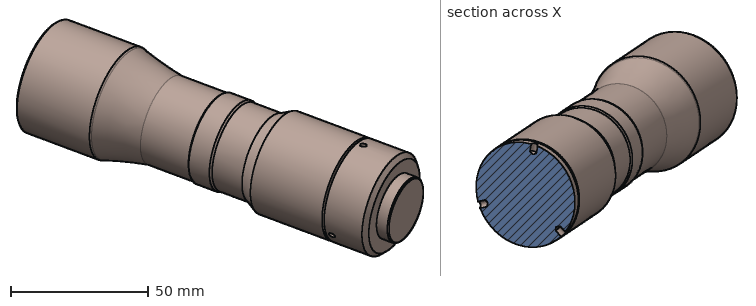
import cadquery as cq

length = 152.5

head_diameter = 44.0
head_radius = head_diameter / 2
neck_radius = 17.4
ring_radius = 17.8
body_radius = 20.1
groove_radius = 16.5
spigot_radius = 12.8

head_end = 31.9
neck_start = 50.0
ring_start = 70.5
ring_end = 79.6
flare_start = 93.2
body_start = 98.4
groove_start = 128.7
groove_width = 0.9
groove_end = groove_start + groove_width
body_end = 147.5

head_chamfer = 0.6
ring_front_chamfer = 0.5
ring_rear_slope = 0.9
body_chamfer = 1.8
spigot_chamfer = 0.5

taper_sag = 0.3

hole_count = 3
hole_radius = 1.2
hole_depth = 3.0
hole_tip_depth = 0.8
hole_x = groove_end + 2.6
first_hole_angle = 79.6


def make_barrel():
    """Revolve the half profile of the barrel about X."""
    taper_middle = (
        (head_end + neck_start) / 2,
        (head_radius - head_chamfer / 2 + neck_radius) / 2 - taper_sag,
    )
    profile = (
        cq.Workplane("XY")
        .lineTo(0, head_radius - head_chamfer)
        .lineTo(head_chamfer, head_radius)
        .lineTo(head_end - head_chamfer, head_radius)
        .lineTo(head_end, head_radius - head_chamfer / 2)
        .threePointArc(taper_middle, (neck_start, neck_radius))
        .lineTo(ring_start, neck_radius)
        .lineTo(ring_start + ring_front_chamfer, ring_radius)
        .lineTo(ring_end, ring_radius)
        .lineTo(ring_end + ring_rear_slope, neck_radius)
        .lineTo(flare_start, neck_radius)
        .lineTo(body_start, body_radius)
        .lineTo(groove_start, body_radius)
        .lineTo(groove_start, groove_radius)
        .lineTo(groove_end, groove_radius)
        .lineTo(groove_end, body_radius)
        .lineTo(body_end - body_chamfer, body_radius)
        .lineTo(body_end, body_radius - body_chamfer)
        .lineTo(body_end, spigot_radius)
        .lineTo(length - spigot_chamfer, spigot_radius)
        .lineTo(length, spigot_radius - spigot_chamfer)
        .lineTo(length, 0)
        .close()
    )
    return profile.revolve(360, (0, 0, 0), (1, 0, 0))


def make_screw_hole(angle):
    """Drill shape along a radius, turned about X from +Y toward +Z."""
    floor = body_radius - hole_depth
    drill = (
        cq.Workplane("XY")
        .moveTo(hole_x, floor - hole_tip_depth)
        .lineTo(hole_x + hole_radius, floor)
        .lineTo(hole_x + hole_radius, head_radius)
        .lineTo(hole_x, head_radius)
        .close()
        .revolve(360, (hole_x, 0, 0), (hole_x, 1, 0))
    )
    return drill.rotate((0, 0, 0), (1, 0, 0), angle)


result = make_barrel()
for index in range(hole_count):
    hole_angle = first_hole_angle + index * 360 / hole_count
    result = result.cut(make_screw_hole(hole_angle))